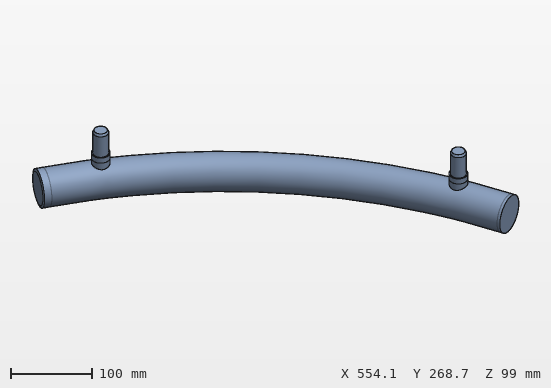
import cadquery as cq
import math

bar_diameter = 50.0
bend_radius = 739.5
bend_angle = 45.3
start_length = 4.0
tail_length = 10.5
tail_chamfer_length = 3.5
tail_chamfer_width = 1.0

foot_diameter = 23.0
foot_height = 7.0
first_post_angle = 5.1
post_spacing_angle = 34.8

collar_height = 8.0
stud_diameter = 20.0
tip_chamfer_length = 3.5
tip_chamfer_width = 1.5
overall_height = 99.0

bar_radius = bar_diameter / 2
foot_top = bar_radius + foot_height
stud_height = overall_height - bar_diameter - foot_height - collar_height
post_angles = (first_post_angle, first_post_angle + post_spacing_angle)


def point_on_bend(angle):
    """Point on the centre line, at an angle in degrees from the start of the bend."""
    turn = math.radians(angle)
    return (-bend_radius * math.sin(turn), bend_radius * (math.cos(turn) - 1))


def make_rod():
    turn = math.radians(bend_angle)
    centre_line = (
        cq.Workplane("XY")
        .moveTo(start_length, 0)
        .lineTo(0, 0)
        .threePointArc(point_on_bend(bend_angle / 2), point_on_bend(bend_angle))
        .line(-tail_length * math.cos(turn), -tail_length * math.sin(turn))
    )
    rod = cq.Workplane("YZ", origin=(start_length, 0, 0)).circle(bar_radius).sweep(centre_line)
    tail_direction = cq.Vector(-math.cos(turn), -math.sin(turn), 0)
    tail_face = cq.selectors.DirectionMinMaxSelector(tail_direction)
    return rod.faces(tail_face).chamfer(tail_chamfer_width, tail_chamfer_length)


def make_foot(angle):
    """Round foot rising from the centre of the rod."""
    return cq.Workplane("XY").center(*point_on_bend(angle)).circle(foot_diameter / 2).extrude(foot_top)


def make_pin(angle):
    """Collar standing on a foot, with the stud on top of it."""
    return (
        cq.Workplane("XY", origin=(0, 0, foot_top))
        .center(*point_on_bend(angle))
        .circle(foot_diameter / 2)
        .extrude(collar_height)
        .faces(">Z")
        .workplane()
        .circle(stud_diameter / 2)
        .extrude(stud_height)
        .faces(">Z")
        .chamfer(tip_chamfer_length, tip_chamfer_width)
    )


bar = make_rod()
for post_angle in post_angles:
    bar = bar.union(make_foot(post_angle))

pins = [make_pin(post_angle) for post_angle in post_angles]

result = cq.Compound.makeCompound([bar.val(), *[pin.val() for pin in pins]])